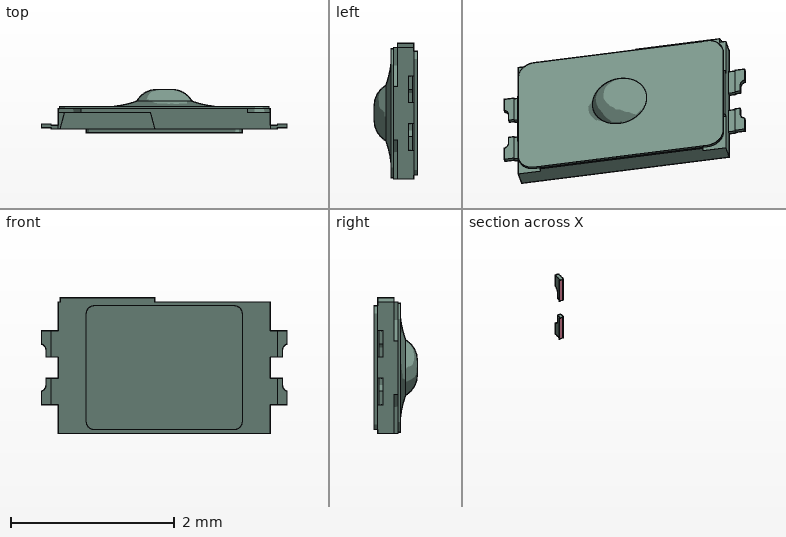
import cadquery as cq
import math

overall_length = 3.0
overall_height = 1.66
body_length = 2.592
body_depth = 0.25
rib_height = 0.05
body_height = overall_height - rib_height

rib_depth = 0.2
rib_front_left = -1.272
rib_front_right = -0.115
rib_taper = 0.055

pad_length = 1.905
pad_height = 1.512
pad_thickness = 0.045
pad_radius = 0.1

relief_floor = rib_depth
relief_length = 0.282
relief_height = 0.477
relief_radius = 0.252

cover_length = 2.56
cover_height = 1.578
cover_thickness = 0.03
cover_radius = 0.2

lens_flare_radius = 0.615
lens_rim_radius = 0.34
lens_dome_radius = 0.33
lens_flat_radius = 0.09
lens_rim_height = 0.063
lens_dome_base = 0.078
lens_height = 0.207
lens_foot_sag = 0.01

lead_top = 0.453
lead_bottom = 0.13
lead_thickness = 0.048
lead_step = 0.015
lead_tip_length = 0.12
lead_embed = 0.03
lead_notch_width = 0.055
lead_notch_radius = 0.072
lead_notch_center = 0.215


def slab(length, height, front, thickness):
    """Plate centered in X and Z, reaching toward +Y from its front face."""
    return cq.Workplane("XY").box(length, thickness, height).translate((0, front + thickness / 2, 0))


def block(x_min, x_max, y_min, y_max, z_min, z_max):
    """Box between the given limits."""
    return cq.Workplane("XY").box(
        x_max - x_min, y_max - y_min, z_max - z_min, centered=False
    ).translate((x_min, y_min, z_min))


def four_ways(solid):
    """The solid with its mirror images across X = 0 and Z = 0."""
    pair = solid.union(solid.mirror("YZ"))
    return pair.union(pair.mirror("XY"))


def make_rib():
    outline = [
        (rib_front_left, 0),
        (rib_front_right, 0),
        (rib_front_right - rib_taper, rib_depth),
        (rib_front_left + rib_taper, rib_depth),
    ]
    return (
        cq.Workplane("XY", origin=(0, 0, body_height / 2))
        .polyline(outline).close().extrude(rib_height)
    )


def make_corner_relief():
    """Corner pocket whose inner corner is a concave arc."""
    half_length = body_length / 2
    half_height = body_height / 2
    pocket = block(
        half_length - relief_length, half_length,
        relief_floor, body_depth,
        half_height - relief_height, half_height,
    )
    inner_edge = pocket.faces("<X").edges("|Y").edges("<Z")
    return inner_edge.fillet(relief_radius)


def make_lens():
    """Revolved lens: flat crown, round dome, short conical rim and flared foot."""
    dome_drop = lens_height - lens_dome_base
    dome_run = lens_dome_radius - lens_flat_radius
    dome_arc = (dome_run**2 + dome_drop**2) / (2 * dome_drop)
    dome_half_angle = math.asin(dome_run / dome_arc) / 2
    dome_middle = (
        lens_flat_radius + dome_arc * math.sin(dome_half_angle),
        lens_height - dome_arc * (1 - math.cos(dome_half_angle)),
    )
    foot_middle = (
        (lens_flare_radius + lens_rim_radius) / 2,
        lens_rim_height / 2 - lens_foot_sag,
    )
    return (
        cq.Workplane("XY")
        .moveTo(0, -cover_thickness)
        .lineTo(lens_flare_radius, -cover_thickness)
        .lineTo(lens_flare_radius, 0)
        .threePointArc(foot_middle, (lens_rim_radius, lens_rim_height))
        .lineTo(lens_dome_radius, lens_dome_base)
        .threePointArc(dome_middle, (lens_flat_radius, lens_height))
        .lineTo(0, lens_height)
        .close()
        .revolve(360, (0, 0, 0), (0, 1, 0))
        .translate((0, body_depth + cover_thickness, 0))
    )


def make_lead():
    """Upper right lead: root on the front plane, tip stepped to the rear and notched."""
    tip_end = overall_length / 2
    tip_start = tip_end - lead_tip_length
    tip_rear = lead_step + lead_thickness
    notch_start = tip_end - lead_notch_width
    root = block(body_length / 2 - lead_embed, tip_start, 0, lead_thickness, lead_bottom, lead_top)
    tip = block(tip_start, tip_end, lead_step, tip_rear, lead_bottom, lead_top)
    notch = block(notch_start, tip_end, lead_step, tip_rear, lead_bottom, lead_notch_center)
    round_notch = (
        cq.Workplane("XZ", origin=(notch_start + lead_notch_radius, 0, lead_notch_center))
        .circle(lead_notch_radius)
        .extrude(-tip_rear)
    )
    return root.union(tip.cut(notch).cut(round_notch))


body = slab(body_length, body_height, 0, body_depth).cut(four_ways(make_corner_relief()))
pad = slab(pad_length, pad_height, -pad_thickness, pad_thickness).edges("|Y").fillet(pad_radius)
cover = slab(cover_length, cover_height, body_depth, cover_thickness).edges("|Y").fillet(cover_radius)

result = (
    body.union(make_rib())
    .union(pad)
    .union(cover)
    .union(make_lens())
    .union(four_ways(make_lead()))
)